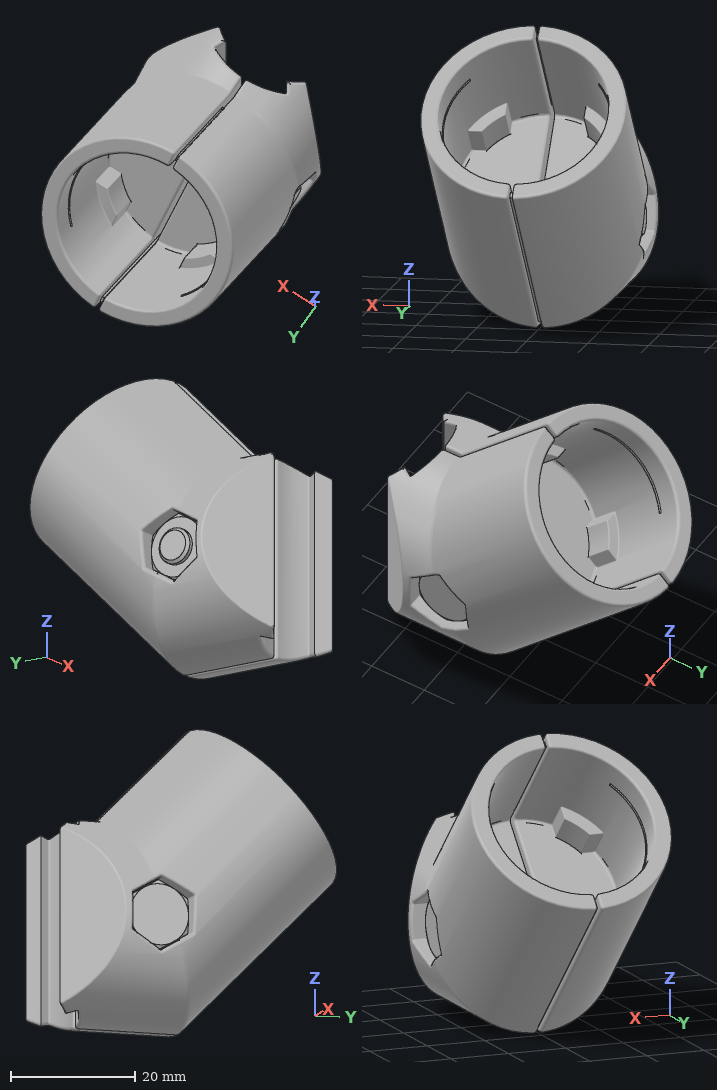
import cadquery as cq
import math

outer_radius = 17.0
pipe_radius = 14.0
bend_angle = 45.0
socket_length = 30.0
socket_floor = 8.5
edge_radius = 0.5
mitre_edge_radius = 1.0

cross_pipe_y = -24.5
flank_angle = 45.0
key_step_angle = 30.0

half_cut = 0.5
closing_shift = 0.2

key_radius = 12.0
key_edge_radius = 0.2
socket_key_offset = 6.6
socket_key_top = 14.0

ridge_height = 25.3
ridge_half_width = 0.25
ridge_depth = 0.15
ridge_start_angle = 50.5

tongue_inner = 15.0
tongue_outer = 16.0
tongue_rise = 0.4
tongue_inset = 1.3
tongue_start = 10.0

bolt_y = -1.0
bolt_radius = 3.0
bolt_tip_x = -15.5
bolt_tip_chamfer = 0.5
hex_flats = 10.0
hex_bevel_angle = 30.0
nut_face_x = -14.3
nut_height = 5.0
pocket_flats = 10.4
pocket_corner_fillet = 0.3

reach = 4 * socket_length
tolerance = 0.001
bend = math.radians(bend_angle)
mitre_slope = math.tan(bend / 2)
nut_seat_x = nut_face_x + nut_height
pocket_floor_x = nut_seat_x - closing_shift
key_root_radius = (pipe_radius + outer_radius) / 2

socket_frame = cq.Plane(
    origin=(0, 0, 0), xDir=(-1, 0, 0), normal=(0, math.sin(bend), math.cos(bend))
)
mitre_frame = cq.Plane(
    origin=(0, 0, 0), xDir=(1, 0, 0), normal=(0, math.cos(bend / 2), math.sin(bend / 2))
)


def socket_sketch(height):
    return cq.Workplane(socket_frame).workplane(offset=height)


def polar(radius, angle):
    """Point at an angle measured from the +y direction towards +x."""
    turn = math.radians(angle)
    return (radius * math.sin(turn), radius * math.cos(turn))


def in_socket(height, across):
    """(y, z) of a point at a height on the socket axis and a distance towards the lower wall."""
    y = height * math.sin(bend) + across * math.cos(bend)
    z = height * math.cos(bend) - across * math.sin(bend)
    return (y, z)


def hex_prism(flats, x_from, x_to):
    """Hexagon about the bolt axis with corners straight up and down."""
    corner_radius = flats / math.sqrt(3)
    corners = [polar(corner_radius, 60 * i) for i in range(6)]
    sketch = cq.Workplane("YZ", origin=(x_from, bolt_y, 0))
    return sketch.polyline(corners).close().extrude(x_to - x_from)


def fillet_where(body, radius, *tests):
    edges = [edge for edge in body.edges().vals() if any(test(edge) for test in tests)]
    return body.newObject(edges).fillet(radius)


def samples(edge):
    return [edge.positionAt(t) for t in (0, 0.5, 1)]


def close_to(value, target):
    return abs(value - target) < tolerance


def on_parting_face(edge):
    return all(close_to(p.x, -half_cut) for p in samples(edge))


def on_mitre(edge):
    in_mitre_plane = all(close_to(p.y, -mitre_slope * p.z) for p in samples(edge))
    return in_mitre_plane and not on_parting_face(edge) and edge.geomType() != "LINE"


def on_socket_level(height):
    def test(edge):
        return all(close_to(socket_frame.toLocalCoords(p).z, height) for p in samples(edge))

    return test


def on_flank(edge):
    slope = math.tan(math.radians(flank_angle))
    return all(close_to(p.x, -slope * (p.y - cross_pipe_y)) for p in samples(edge))


def on_key_step_root(edge):
    """Upright edge where the step in the saddle meets the pipe seat."""
    middle = edge.positionAt(0.5)
    root_x, root_y = polar(pipe_radius, -key_step_angle)
    return close_to(middle.x, root_x) and close_to(middle.y, cross_pipe_y + root_y)


def on_saddle_end(edge):
    """Edges where the pipe seat, its steps and the key faces run out of the arm."""
    on_arm = all(close_to(math.hypot(p.x, p.z), outer_radius) for p in samples(edge))
    limit = pipe_radius + tolerance
    in_seat = all(math.hypot(p.x, p.y - cross_pipe_y) < limit for p in samples(edge))
    return on_arm and in_seat


def on_pocket_mouth(edge):
    middle = edge.positionAt(0.5)
    limit = pocket_flats / math.sqrt(3) + tolerance
    near_axis = math.hypot(middle.y - bolt_y, middle.z) < limit
    above_floor = middle.x < pocket_floor_x - tolerance
    return edge.geomType() != "LINE" and near_axis and above_floor


def on_socket_key_upright(edge):
    """Edges of the socket keys that run along the socket."""
    middle = socket_frame.toLocalCoords(edge.positionAt(0.5))
    on_side = close_to(middle.x, socket_key_offset) or close_to(abs(middle.y), socket_key_offset)
    inside = math.hypot(middle.x, middle.y) < pipe_radius + tolerance
    between = socket_floor + tolerance < middle.z < socket_key_top - tolerance
    return edge.geomType() == "LINE" and on_side and inside and between


def elbow():
    socket = socket_sketch(-reach).circle(outer_radius).extrude(reach + socket_length)
    arm = cq.Workplane("XZ").circle(outer_radius).extrude(reach, both=True)
    beyond_mitre = cq.Workplane(mitre_frame).rect(2 * reach, 2 * reach).extrude(2 * reach)
    bore = socket_sketch(socket_floor).circle(pipe_radius).extrude(reach)
    return socket.intersect(beyond_mitre).union(arm.cut(beyond_mitre)).cut(bore)


def saddle_cut():
    """Everything in front of the arm: the slanted flanks and the seat of the crossing pipe."""
    sketch = cq.Workplane("XY", origin=(0, cross_pipe_y, -reach / 2))
    outside_flanks = (
        sketch.moveTo(0, 0)
        .lineTo(*polar(reach, flank_angle))
        .lineTo(reach, -reach)
        .lineTo(-reach, -reach)
        .lineTo(*polar(reach, -flank_angle))
        .close()
        .extrude(reach)
    )
    key_bore = sketch.circle(key_radius).extrude(reach)
    pipe_seat = (
        sketch.moveTo(0, 0)
        .lineTo(*polar(pipe_radius, -key_step_angle))
        .threePointArc((0, pipe_radius), polar(pipe_radius, key_step_angle))
        .close()
        .extrude(reach)
    )
    return outside_flanks.union(key_bore).union(pipe_seat)


def hex_pocket():
    prism = hex_prism(pocket_flats, -reach, pocket_floor_x)
    return prism.edges("|X").fillet(pocket_corner_fillet)


def socket_key(side):
    """Key with two flat sides square to each other; side is +1 near the lower wall, -1 near the upper."""
    inner_far = math.sqrt(key_radius**2 - socket_key_offset**2)
    root_far = math.sqrt(key_root_radius**2 - socket_key_offset**2)
    inner_middle = key_radius * math.sqrt(0.5)
    root_middle = key_root_radius * math.sqrt(0.5)
    return (
        socket_sketch(socket_floor)
        .moveTo(socket_key_offset, side * inner_far)
        .threePointArc((inner_middle, side * inner_middle), (inner_far, side * socket_key_offset))
        .lineTo(root_far, side * socket_key_offset)
        .threePointArc((root_middle, side * root_middle), (socket_key_offset, side * root_far))
        .close()
        .extrude(socket_key_top - socket_floor)
    )


def snap_ridge():
    """V-shaped ridge; its profile runs on into the wall by as much as it stands out."""
    crest = pipe_radius - ridge_depth
    buried = pipe_radius + ridge_depth
    half_base = 2 * ridge_half_width
    ring = (
        cq.Workplane("XZ")
        .polyline([(buried, -half_base), (crest, 0), (buried, half_base)])
        .close()
        .revolve(360, (0, 0, 0), (0, 1, 0))
        .translate((0, 0, ridge_height))
        .rotate((0, 0, 0), (1, 0, 0), -bend_angle)
    )
    sector_ends = [polar(reach, ridge_start_angle), polar(reach, 180 - ridge_start_angle)]
    sector = (
        socket_sketch(ridge_height - half_base)
        .polyline([(0, 0), *sector_ends])
        .close()
        .extrude(2 * half_base)
    )
    return ring.intersect(sector)


def half_shell():
    """The -X half with its keys and snap ridge, before it is moved inward."""
    parting = cq.Workplane("YZ", origin=(-half_cut, 0, 0))
    half_space = parting.rect(2 * reach, 2 * reach).extrude(-reach)
    body = elbow().cut(saddle_cut()).intersect(half_space).cut(hex_pocket())
    body = fillet_where(body, key_edge_radius, on_key_step_root)
    body = fillet_where(body, mitre_edge_radius, on_mitre)
    body = fillet_where(
        body,
        edge_radius,
        on_parting_face,
        on_socket_level(socket_length),
        on_socket_level(socket_floor),
        on_flank,
        on_saddle_end,
        on_pocket_mouth,
    )
    for side in (1, -1):
        body = body.union(socket_key(side))
    body = fillet_where(body, key_edge_radius, on_socket_level(socket_key_top), on_socket_key_upright)
    return body.union(snap_ridge())


def tongue(outline):
    """Strip that stands out of the parting face of the -X half."""
    root = cq.Workplane("YZ", origin=(-2 * half_cut, 0, 0))
    return root.polyline(outline).close().extrude(half_cut + tongue_rise)


def upper_tongue():
    tip = socket_length - tongue_inset
    return tongue([
        in_socket(tongue_start, -tongue_outer),
        in_socket(tip, -tongue_outer),
        in_socket(tip, -tongue_inner),
        in_socket(tongue_start, -tongue_inner),
    ])


def lower_tongue():
    """Runs down the lower wall of the socket and on along the bottom of the arm."""
    tip = socket_length - tongue_inset
    front = cross_pipe_y + pipe_radius + tongue_inset
    return tongue([
        in_socket(tip, tongue_outer),
        in_socket(tip, tongue_inner),
        (tongue_inner * mitre_slope, -tongue_inner),
        (front, -tongue_inner),
        (front, -tongue_outer),
        (tongue_outer * mitre_slope, -tongue_outer),
    ])


shell = half_shell()
bolt_hole = cq.Workplane("YZ", origin=(0, bolt_y, 0)).circle(bolt_radius).extrude(reach, both=True)


def clamp_half(alignment_tongue):
    return shell.union(alignment_tongue).cut(bolt_hole).translate((closing_shift, 0, 0))


left_half = clamp_half(upper_tongue())
right_half = clamp_half(lower_tongue()).mirror("YZ")


def bevelled_hex():
    """Hexagon on the -X side, its outer face turned down to a circle touching the flats."""
    face_radius = hex_flats / 2
    seat_radius = face_radius + nut_height / math.tan(math.radians(hex_bevel_angle))
    cone = (
        cq.Workplane("XY", origin=(0, bolt_y, 0))
        .polyline([
            (nut_face_x, 0),
            (nut_face_x, face_radius),
            (nut_seat_x, seat_radius),
            (nut_seat_x, 0),
        ])
        .close()
        .revolve(360, (0, 0, 0), (1, 0, 0))
    )
    return hex_prism(hex_flats, nut_face_x, nut_seat_x).intersect(cone)


def hex_bolt():
    """The head matches the nut and sits in the opposite pocket."""
    shank = (
        cq.Workplane("YZ", origin=(bolt_tip_x, bolt_y, 0))
        .circle(bolt_radius)
        .extrude(-nut_seat_x - bolt_tip_x)
        .faces("<X")
        .chamfer(bolt_tip_chamfer)
    )
    return shank.union(bevelled_hex().mirror("YZ"))


nut = bevelled_hex().cut(bolt_hole)
bolt = hex_bolt()

result = cq.Compound.makeCompound([left_half.val(), right_half.val(), nut.val(), bolt.val()])